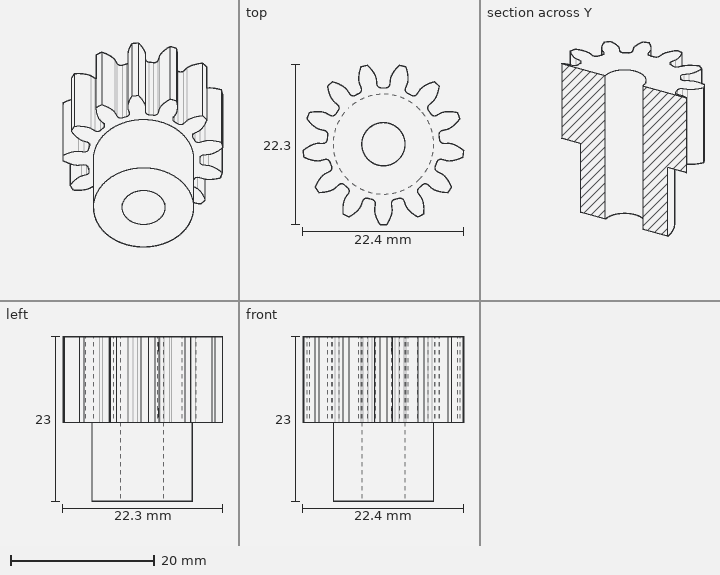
import cadquery as cq
import math

total_height = 23.0
gear_width = 12.0
tip_diameter = 22.5
tooth_count = 13
pressure_angle = math.radians(20)
dedendum_factor = 1.25
root_fillet = 0.58
hub_diameter = 14.0
bore_diameter = 6.0
flank_points = 7

module = tip_diameter / (tooth_count + 2)
pitch_radius = module * tooth_count / 2
tip_radius = tip_diameter / 2
root_radius = pitch_radius - dedendum_factor * module
base_radius = pitch_radius * math.cos(pressure_angle)
tooth_pitch = 2 * math.pi / tooth_count
first_tooth_angle = -math.pi / 2
hub_height = total_height - gear_width


def polar(radius, angle):
    return (radius * math.cos(angle), radius * math.sin(angle))


def involute(angle):
    return math.tan(angle) - angle


def half_tooth_angle(radius):
    """Angle from the tooth centre line to its involute flank at a radius."""
    flank_angle = math.acos(min(1.0, base_radius / radius))
    return tooth_pitch / 4 + involute(pressure_angle) - involute(flank_angle)


def gear_outline():
    """Involute flanks, running radially from the base circle to the root circle."""
    radius_step = (tip_radius - base_radius) / (flank_points - 1)
    radii = [base_radius + i * radius_step for i in range(flank_points)]
    base_half_angle = half_tooth_angle(base_radius)
    start = polar(root_radius, first_tooth_angle - base_half_angle)
    outline = cq.Workplane("XY").workplane(offset=hub_height).moveTo(*start)
    for tooth in range(tooth_count):
        centre = first_tooth_angle + tooth * tooth_pitch
        rising = [polar(r, centre - half_tooth_angle(r)) for r in radii]
        falling = [polar(r, centre + half_tooth_angle(r)) for r in reversed(radii)]
        outline = outline.lineTo(*rising[0]).spline(rising[1:], includeCurrent=True)
        outline = outline.threePointArc(polar(tip_radius, centre), falling[0])
        outline = outline.spline(falling[1:], includeCurrent=True)
        outline = outline.lineTo(*polar(root_radius, centre + base_half_angle))
        gap_middle = polar(root_radius, centre + tooth_pitch / 2)
        gap_end = polar(root_radius, centre + tooth_pitch - base_half_angle)
        if tooth == tooth_count - 1:
            gap_end = start
        outline = outline.threePointArc(gap_middle, gap_end)
    return outline.close()


def make_gear():
    gear = gear_outline().extrude(gear_width)
    fillet_limit = (root_radius + base_radius) / 2
    root_edges = [
        edge
        for edge in gear.edges("|Z").vals()
        if math.hypot(edge.Center().x, edge.Center().y) < fillet_limit
    ]
    return gear.newObject(root_edges).fillet(root_fillet)


hub = cq.Workplane("XY").circle(hub_diameter / 2).extrude(hub_height)
bore = cq.Workplane("XY").circle(bore_diameter / 2).extrude(total_height)

result = make_gear().union(hub).cut(bore)